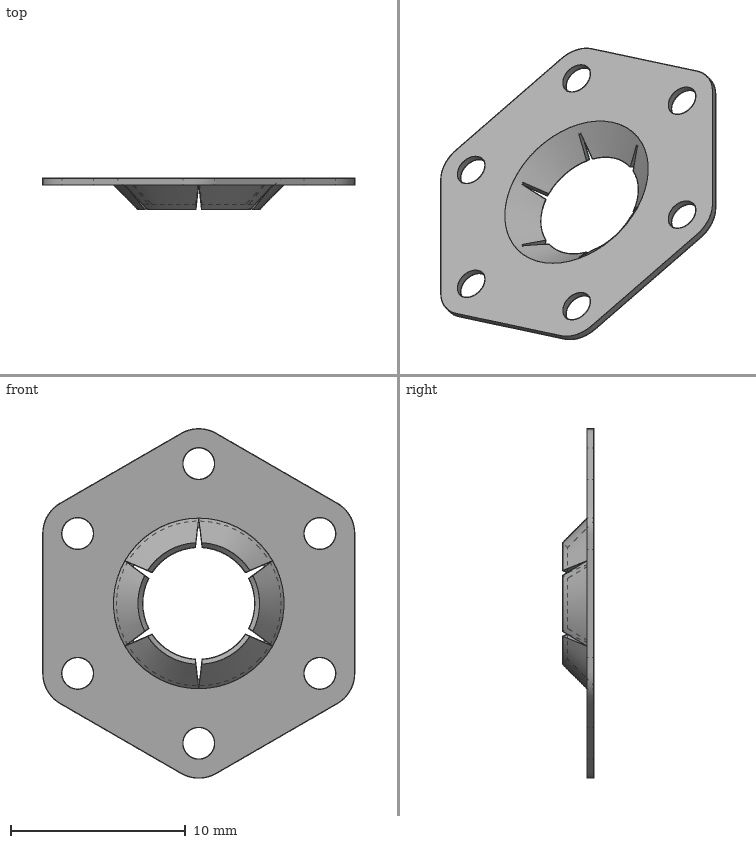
import cadquery as cq
import math

sides = 6
corner_centre_radius = 8.0
corner_radius = 2.0
hole_diameter = 1.8
thickness = 0.4

total_depth = 1.8
collar_base_radius = 4.88
collar_angle = math.radians(45)
slit_tip_width = 0.38

collar_height = total_depth - thickness
tip_outer_radius = collar_base_radius - collar_height / math.tan(collar_angle)
tip_inner_radius = tip_outer_radius - thickness * math.sin(collar_angle)
tip_inner_y = -total_depth + thickness * math.cos(collar_angle)
mouth_radius = tip_inner_radius - tip_inner_y / math.tan(collar_angle)


def make_plate():
    """Rounded hexagon with a corner on +Z, its back face on Y = 0."""
    circumradius = corner_centre_radius + corner_radius / math.cos(math.pi / sides)
    return (
        cq.Workplane("XZ")
        .polygon(sides, 2 * circumradius)
        .extrude(thickness)
        .rotate((0, 0, 0), (0, 1, 0), 180 / sides)
        .edges("|Y")
        .fillet(corner_radius)
    )


def make_holes():
    return (
        cq.Workplane("XZ")
        .polarArray(corner_centre_radius, 90, 360, sides)
        .circle(hole_diameter / 2)
        .extrude(thickness)
    )


def make_opening():
    """Round clearance in the plate, refilled at its rim by the collar."""
    return cq.Workplane("XZ").circle(collar_base_radius).extrude(thickness)


def make_collar():
    """Sheet ring revolved about the Y axis."""
    section = [
        (mouth_radius, 0),
        (collar_base_radius, 0),
        (collar_base_radius, -thickness),
        (tip_outer_radius, -total_depth),
        (tip_inner_radius, tip_inner_y),
    ]
    return cq.Workplane("XY").polyline(section).close().revolve(360, (0, 0, 0), (0, 1, 0))


def make_slit(angle):
    """Wedge widening from the collar base to its tip, in front of the plate."""
    outline = [
        (0, collar_base_radius),
        (slit_tip_width / 2, tip_inner_radius),
        (0, 0),
        (-slit_tip_width / 2, tip_inner_radius),
    ]
    return (
        cq.Workplane("XZ", origin=(0, -thickness, 0))
        .polyline(outline)
        .close()
        .extrude(collar_height)
        .rotate((0, 0, 0), (0, 1, 0), angle)
    )


result = make_plate().cut(make_holes()).cut(make_opening()).union(make_collar())
for index in range(sides):
    result = result.cut(make_slit(index * 360 / sides))